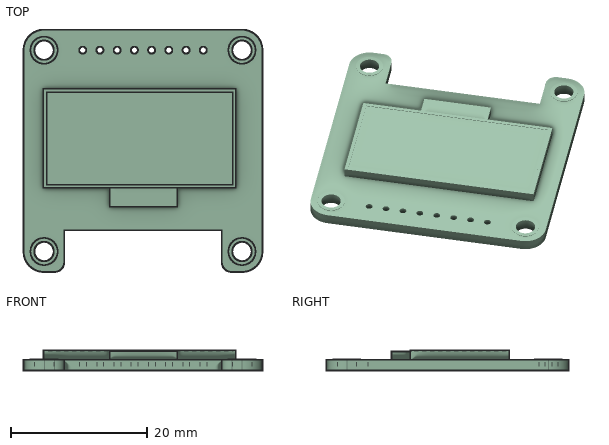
import cadquery as cq

board_width = 35.05
board_length = 35.55
board_thickness = 1.6
corner_radius = 3.02

leg_width = 6.0
notch_depth = 6.1
leg_inner_radius = 1.5

hole_diameter = 2.8
pad_diameter = 4.0
pad_height = 0.07
hole_margin = 3.02

pin_count = 8
pin_diameter = 1.0
pin_pitch = 2.52

total_height = 3.0
display_width = 28.25
display_length = 14.5
display_center_x = -0.5
display_front_margin = 12.35
window_border = 0.5
window_depth = 0.07

tab_width = 9.95
tab_length = 2.77
tab_center_x = 0.07
tab_drop = 0.18

hole_x = board_width / 2 - hole_margin
hole_y = board_length / 2 - hole_margin
front_y = -board_length / 2
display_front_y = front_y + display_front_margin
display_center_y = display_front_y + display_length / 2
hole_points = [(x, y) for x in (-hole_x, hole_x) for y in (-hole_y, hole_y)]


def block(width, length, height, center, base_z):
    """Box centred on an XY point and standing on base_z."""
    box = cq.Workplane("XY").box(width, length, height, centered=(True, True, False))
    return box.translate((center[0], center[1], base_z))


def make_board():
    board = block(board_width, board_length, board_thickness, (0, 0), 0)
    board = board.edges("|Z").fillet(corner_radius)
    notch_width = board_width - 2 * leg_width
    notch_center = (0, front_y + notch_depth / 2)
    board = board.cut(block(notch_width, notch_depth, board_thickness, notch_center, 0))
    for side in (-1, 1):
        corner = cq.selectors.NearestToPointSelector(
            (side * notch_width / 2, front_y, board_thickness / 2)
        )
        board = board.edges("|Z").edges(corner).fillet(leg_inner_radius)
    return board


def make_pads():
    plane = cq.Workplane("XY").workplane(offset=board_thickness)
    return plane.pushPoints(hole_points).circle(pad_diameter / 2).extrude(pad_height)


def make_display():
    center = (display_center_x, display_center_y)
    height = total_height - board_thickness
    body = block(display_width, display_length, height, center, board_thickness)
    window = block(
        display_width - 2 * window_border,
        display_length - 2 * window_border,
        window_depth,
        center,
        total_height - window_depth,
    )
    return body.cut(window)


def make_tab():
    height = total_height - tab_drop - board_thickness
    center = (tab_center_x, display_front_y - tab_length / 2)
    return block(tab_width, tab_length, height, center, board_thickness)


def make_holes():
    mounting = cq.Workplane("XY").pushPoints(hole_points).circle(hole_diameter / 2).extrude(total_height)
    pins = (
        cq.Workplane("XY")
        .center(0, hole_y)
        .rarray(pin_pitch, 0.35, pin_count, 1)
        .circle(pin_diameter / 2)
        .extrude(total_height)
    )
    return mounting.union(pins)


result = make_board().union(make_pads()).union(make_display()).union(make_tab()).cut(make_holes())